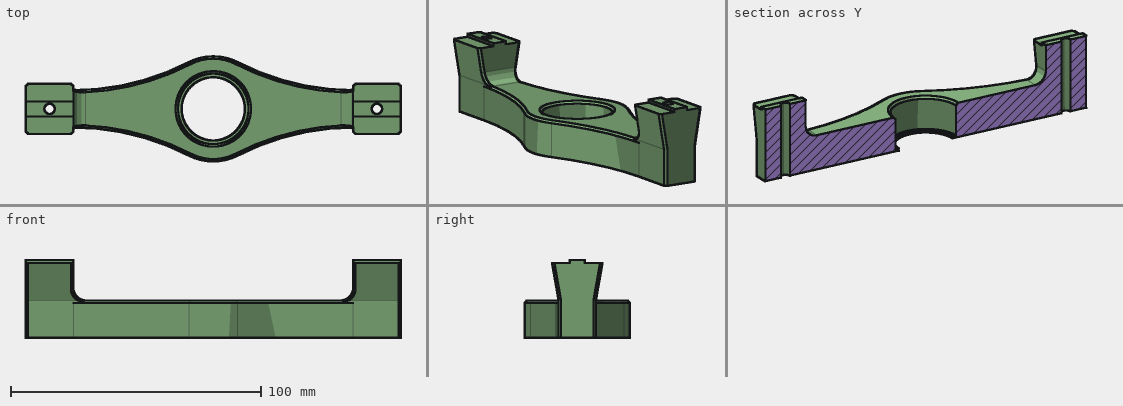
import cadquery as cq
import math

length = 150.0
base_height = 15.0
hub_radius = 21.08
end_length = 19.0
end_base_width = 15.0
end_top_width = 20.2
shoulder_height = 30.0
key_width = 6.0
key_height = 1.2
neck_fillet = 5.0
edge_chamfer = 1.0
bore_diameter = 28.2
lip_diameter = 25.2
lip_height = 1.0
pin_hole_diameter = 4.0

half_length = length / 2
neck_x = half_length - end_length
neck_y = end_base_width / 2
fillet_x = neck_x - neck_fillet
pin_hole_x = half_length - end_length / 2

flank_radius = (neck_x**2 + neck_y**2 - hub_radius**2) / (2 * (hub_radius - neck_y))
flank_center_y = neck_y + flank_radius
hub_tangent_angle = math.atan2(flank_center_y, neck_x)
tangent_x = hub_radius * math.cos(hub_tangent_angle)
tangent_y = hub_radius * math.sin(hub_tangent_angle)
mid_angle = (hub_tangent_angle + math.pi / 2) / 2
flank_mid_x = neck_x - flank_radius * math.cos(mid_angle)
flank_mid_y = flank_center_y - flank_radius * math.sin(mid_angle)


def make_base():
    """Bar with concave flanks and a round hub between the end blocks, its top rim chamfered."""
    return (
        cq.Workplane("XY")
        .moveTo(-neck_x, neck_y)
        .threePointArc((-flank_mid_x, flank_mid_y), (-tangent_x, tangent_y))
        .threePointArc((0, hub_radius), (tangent_x, tangent_y))
        .threePointArc((flank_mid_x, flank_mid_y), (neck_x, neck_y))
        .lineTo(neck_x, -neck_y)
        .threePointArc((flank_mid_x, -flank_mid_y), (tangent_x, -tangent_y))
        .threePointArc((0, -hub_radius), (-tangent_x, -tangent_y))
        .threePointArc((-flank_mid_x, -flank_mid_y), (-neck_x, -neck_y))
        .close()
        .extrude(base_height)
        .faces(">Z")
        .edges("not |Y")
        .chamfer(edge_chamfer)
    )


def edges_in_box(x, y_low, z_low, y_high, z_high):
    """Selector for edges that lie wholly in a thin upright box in the plane at x."""
    margin = 0.02
    return cq.selectors.BoxSelector(
        (x - margin, y_low - margin, z_low - margin),
        (x + margin, y_high + margin, z_high + margin),
        boundingbox=True,
    )


def make_end_block():
    """Flared end block at +X, blended down to the top of the base on its inner side."""
    top_y = end_top_width / 2
    flared_section = (
        cq.Workplane("YZ", origin=(fillet_x, 0, 0))
        .moveTo(-neck_y, 0)
        .lineTo(neck_y, 0)
        .lineTo(neck_y, base_height)
        .lineTo(top_y, shoulder_height)
        .lineTo(-top_y, shoulder_height)
        .lineTo(-neck_y, base_height)
        .close()
        .extrude(end_length + neck_fillet)
    )
    side_profile = (
        cq.Workplane("XZ")
        .moveTo(fillet_x, 0)
        .lineTo(half_length, 0)
        .lineTo(half_length, shoulder_height)
        .lineTo(neck_x, shoulder_height)
        .lineTo(neck_x, base_height + neck_fillet)
        .radiusArc((fillet_x, base_height), neck_fillet)
        .close()
        .extrude(top_y, both=True)
    )
    block = flared_section.intersect(side_profile)
    outer_corners = block.faces(">X").edges("not |Y")
    block = outer_corners.chamfer(edge_chamfer)
    top_of_fillet = base_height + neck_fillet
    inner_corners = (
        block.edges("%ELLIPSE")
        .add(block.edges(edges_in_box(neck_x, neck_y, top_of_fillet, top_y, shoulder_height)))
        .add(block.edges(edges_in_box(neck_x, -top_y, top_of_fillet, -neck_y, shoulder_height)))
    )
    return inner_corners.chamfer(edge_chamfer)


def make_key():
    """Narrow locating key along the top of the +X end block."""
    return (
        cq.Workplane("XY", origin=(pin_hole_x, 0, shoulder_height))
        .rect(end_length, key_width)
        .extrude(key_height)
    )


def make_bore():
    """Main bore with a chamfered mouth, stopping at a thin inward lip at the bottom."""
    bore_radius = bore_diameter / 2
    lip_radius = lip_diameter / 2
    return (
        cq.Workplane("XZ")
        .moveTo(0, 0)
        .lineTo(lip_radius, 0)
        .lineTo(lip_radius, lip_height)
        .lineTo(bore_radius, lip_height)
        .lineTo(bore_radius, base_height - edge_chamfer)
        .lineTo(bore_radius + edge_chamfer, base_height)
        .lineTo(0, base_height)
        .close()
        .revolve(360, (0, 0, 0), (0, 1, 0))
    )


def make_pin_hole():
    """Pin hole running down through the full height of the +X end block."""
    return (
        cq.Workplane("XY", origin=(pin_hole_x, 0, 0))
        .circle(pin_hole_diameter / 2)
        .extrude(shoulder_height + key_height)
    )


end_block = make_end_block().union(make_key())
pin_hole = make_pin_hole()

result = (
    make_base()
    .union(end_block)
    .union(end_block.mirror("YZ"))
    .cut(make_bore())
    .cut(pin_hole)
    .cut(pin_hole.mirror("YZ"))
)